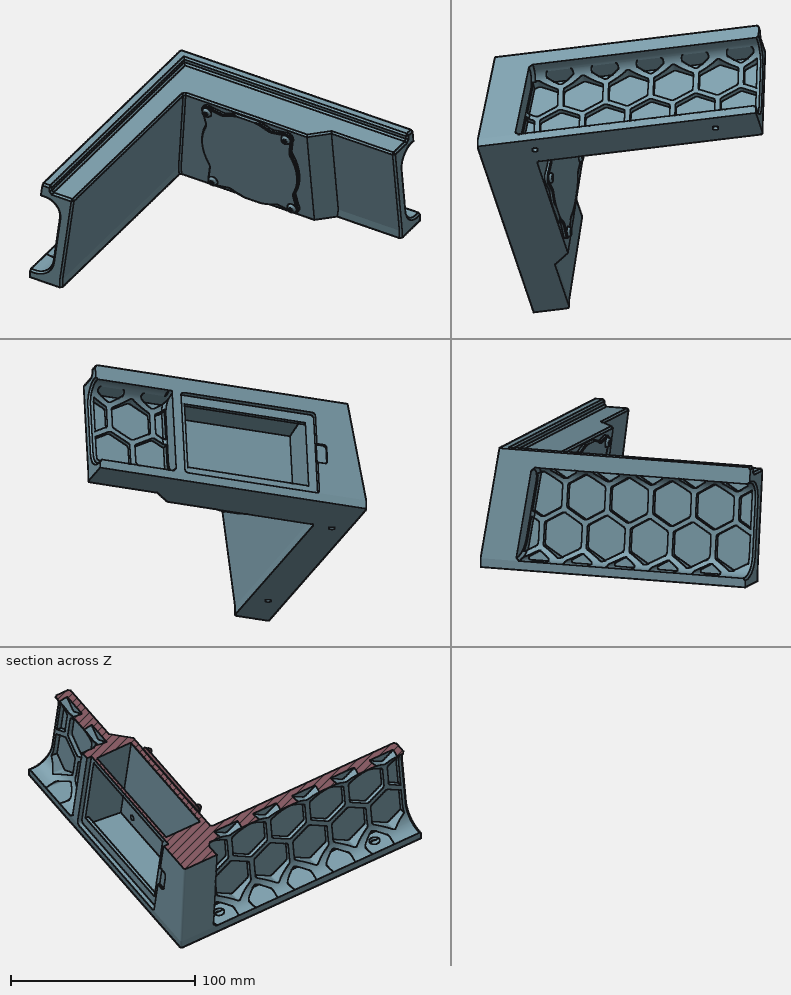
import cadquery as cq
import math


arm_length = 154.5
height = 65.0
plinth_height = 5.0
lean_angle = 7.5
arm_thickness = 20.0
deck_height = 61.0
rim_width = 13.3
rim_foot_chamfer = 1.1
edge_chamfer = 1.1
corner_chamfer = 1.0
mitre_radius = 1.2

block_start = arm_thickness
block_end = 105.0
block_depth = 29.7
block_run_back = block_depth - arm_thickness

pocket_floor = plinth_height
pocket_ceiling = 56.0
pocket_depth = 12.9
pocket_low_radius = 12.0
pocket_high_radius = 9.0
side_pocket_start = 20.9
rear_pocket_start = 110.4
pocket_end_chamfer = 1.8

hexagon_pitch = 25.0
hexagon_width = 22.0
hexagon_side = hexagon_width / math.sqrt(3)
hexagon_corner_radius = 2.0
hexagon_row_pitch = hexagon_pitch * math.sin(math.radians(60))
hexagon_columns = 7
hexagon_row_base = -6.7
hexagon_first = 5.2
hexagon_depth = 2.7
gable_corner_radius = 1.0
hexagon_end_margin = 3.0
hexagon_wall_margin = 0.6

foot_hole_diameter = 3.2
foot_hole_sink_diameter = 6.0
foot_hole_inset = 9.3
foot_hole_places = (hexagon_first + hexagon_pitch, hexagon_first + 5 * hexagon_pitch)

recess_start = 27.5
recess_end = 105.3
recess_depth = 2.8
recess_corner_radius = 2.0
window_width = 70.0
window_margin_u = 5.5
window_depth = 2.0
block_wall = 3.0
notch_width = 5.6
notch_height = 12.0
notch_depth = 1.2

cover_x = 67.5
cover_z = 30.05
cover_diameter = 61.0
cover_height = 59.0
cover_thickness = 2.0
cover_chamfer = 0.6
cover_blend_radius = 4.0
screw_spacing = 50.0
ear_radius = 3.6
ear_taper = 10.0
cover_hole_diameter = 3.2
screw_diameter = 3.0
screw_length = 4.5
head_diameter = 5.7
head_flat_diameter = 2.8
head_height = 1.65
head_bulge = 0.3
socket_width = 2.0
socket_depth = 1.0

lean = math.radians(lean_angle)
sin_lean = math.sin(lean)
cos_lean = math.cos(lean)
reach = 2 * arm_length
tolerance = 0.01


def lean_shift(z):
    """How far a leaning face has moved inwards at height z."""
    return (z - plinth_height) * math.tan(lean)


def slope_height(z):
    """Distance up the leaning face from plinth height to height z."""
    return (z - plinth_height) / cos_lean


def swap_arms(shape):
    """Mirror across the mitre plane, which turns side arm features into rear arm features."""
    return shape.mirror("XZ").rotate((0, 0, 0), (0, 0, 1), -90)


def inside_of(offset):
    """Everything further in than a side arm face that is upright up to the plinth and then leans."""
    section = [
        (offset, 0),
        (offset, plinth_height),
        (offset + lean_shift(height), height),
        (reach, height),
        (reach, 0),
    ]
    return cq.Workplane("XZ", origin=(0, reach, 0)).polyline(section).close().extrude(2 * reach)


def corner_region(offset):
    """Region inside the leaning faces of both arms, set in by the same offset."""
    side = inside_of(offset)
    return side.intersect(swap_arms(side))


def side_face_plane(depth=0.0):
    """Plane on the side arm's leaning face: x runs along the arm, y up the slope, z outwards."""
    origin = (depth * cos_lean, 0, plinth_height - depth * sin_lean)
    return cq.Plane(origin=origin, xDir=(0, -1, 0), normal=(-cos_lean, 0, sin_lean))


def leaning_box(start, end, low, high, depth, outwards=1.0):
    """Block square to the side arm's outer face, sunk to a depth below it."""
    box = cq.Workplane(side_face_plane(depth)).center((start + end) / 2, (low + high) / 2)
    return box.rect(end - start, high - low).extrude(depth + outwards)


def leaning_block():
    """Thickened length of the rear arm, with its end running back to the arm at 45 degrees."""
    plan = [
        (block_start, -arm_thickness / 2),
        (block_start, -block_depth),
        (block_end, -block_depth),
        (block_end + block_run_back, -arm_thickness),
        (block_end + block_run_back, -arm_thickness / 2),
    ]
    foot = [(x, y - lean_shift(0)) for x, y in plan]
    head = [(x, y - lean_shift(deck_height)) for x, y in plan]
    block = cq.Workplane("XY").polyline(foot).close()
    return block.workplane(offset=deck_height).polyline(head).close().loft(ruled=True)


def is_outer_mitre(edge):
    middle = edge.Center()
    return middle.x < rim_width / 2 and abs(middle.x + middle.y) < tolerance and 0 < middle.z < height


def is_inner_corner(edge):
    middle = edge.Center()
    near_corner = abs(middle.x - arm_thickness) < rim_width and abs(middle.y + block_depth) < rim_width
    return near_corner and middle.z < deck_height and abs(edge.tangentAt(0).z) > cos_lean * cos_lean


def is_rim_crest(edge):
    middle = edge.Center()
    on_wall = abs(middle.x - rim_width) < tolerance or abs(middle.y + rim_width) < tolerance
    return on_wall and middle.z > height - tolerance


def is_deck_border(edge):
    middle = edge.Center()
    on_deck = abs(middle.z - deck_height) < tolerance
    return on_deck and min(middle.x, -middle.y) > rim_width + 2 * rim_foot_chamfer


def is_end_border(edge):
    """Borders of the arm ends, except on the outer faces and the base."""
    middle = edge.Center()
    at_end = abs(middle.x - arm_length) < tolerance or abs(middle.y + arm_length) < tolerance
    set_in = min(middle.x, -middle.y) - max(lean_shift(middle.z), 0)
    return at_end and set_in > 0.5 and middle.z > 0.5


def is_pocket_mouth(edge):
    """Borders of the open pocket ends."""
    middle = edge.Center()
    set_in = min(middle.x, -middle.y) - lean_shift(middle.z)
    return is_end_border(edge) and set_in < pocket_depth + 0.1 and middle.z < pocket_ceiling + 0.1


def is_upper_border(edge):
    return is_rim_crest(edge) or is_deck_border(edge) or is_end_border(edge)


def chamfer_where(solid, wanted, size):
    edges = [edge for edge in solid.edges().vals() if wanted(edge)]
    return solid.newObject(edges).chamfer(size)


def frame_body():
    """Both arms with the motor block, the rim and the edge breaks, before any pocket is cut."""
    ends = cq.Workplane("XY").box(arm_length, arm_length, height, centered=False)
    ends = ends.translate((0, -arm_length, 0))
    body = corner_region(0).cut(corner_region(arm_thickness)).intersect(ends)
    deck_space = cq.Workplane("XY", origin=(rim_width, -rim_width - reach, deck_height))
    deck_space = deck_space.box(reach, reach, height, centered=False)
    deck_space = deck_space.faces("<Z").edges("<X or >Y").chamfer(rim_foot_chamfer)
    body = body.union(leaning_block())
    body = body.cut(deck_space)
    mitre = [edge for edge in body.edges().vals() if is_outer_mitre(edge)]
    body = body.newObject(mitre).fillet(mitre_radius)
    body = chamfer_where(body, is_inner_corner, corner_chamfer)
    return chamfer_where(body, is_upper_border, edge_chamfer)


def pocket_trough(limit):
    """Trough with a leaning back wall and rounded inner corners, cut to the given limit."""
    high_corner = pocket_depth + lean_shift(pocket_ceiling)
    section = [
        (-pocket_depth, pocket_floor),
        (pocket_depth, pocket_floor),
        (high_corner, pocket_ceiling),
        (-pocket_depth, pocket_ceiling),
    ]
    trough = cq.Workplane("XZ").polyline(section).close().extrude(reach)
    low_edge = cq.selectors.NearestToPointSelector((pocket_depth, -reach / 2, pocket_floor))
    high_edge = cq.selectors.NearestToPointSelector((high_corner, -reach / 2, pocket_ceiling))
    trough = trough.edges(low_edge).fillet(pocket_low_radius)
    trough = trough.edges(high_edge).fillet(pocket_high_radius)
    trough = trough.intersect(limit)
    return trough.faces(">Y").chamfer(pocket_end_chamfer)


def whole_places(first, start):
    """Distances along the arm of the hexagon places that lie wholly inside the pocket."""
    places = [first + number * hexagon_pitch for number in range(hexagon_columns)]
    return [place for place in places if start < place < arm_length - hexagon_width / 2]


def hexagon_prisms(plane, length):
    """Two full rows of rounded hexagons, shifted by half a pitch against each other."""
    centres = []
    for row in (1, 2):
        first = hexagon_first + (row % 2) * hexagon_pitch / 2
        for number in range(hexagon_columns):
            centres.append((first + number * hexagon_pitch, hexagon_row_base + row * hexagon_row_pitch))
    outline = cq.Sketch().regularPolygon(hexagon_side, 6).vertices().fillet(hexagon_corner_radius)
    return cq.Workplane(plane).pushPoints(centres).placeSketch(outline).extrude(length)


def gable_prisms(plane, length, places, base, tip):
    """Row of hexagon points standing on a floor, or hanging from a ceiling, at the base height."""
    half_width = abs(tip - base) * math.tan(math.radians(60))
    outline = cq.Sketch().polygon([(-half_width, base), (half_width, base), (0, tip), (-half_width, base)])
    outline = outline.vertices("<X or >X").fillet(gable_corner_radius).reset()
    outline = outline.vertices(">Y" if tip > base else "<Y").fillet(hexagon_corner_radius)
    return cq.Workplane(plane).pushPoints([(place, 0) for place in places]).placeSketch(outline).extrude(length)


def hexagon_recesses(start, limit):
    """Recesses square to the leaning face: two rows of hexagons between two rows of gables."""
    depth = pocket_depth * cos_lean + hexagon_depth
    length = depth + 1
    plane = side_face_plane(depth)
    ceiling = slope_height(pocket_ceiling)
    low_tip = hexagon_row_base + hexagon_side
    high_tip = hexagon_row_base + 3 * hexagon_row_pitch - hexagon_side
    low_places = whole_places(hexagon_first, start)
    high_places = whole_places(hexagon_first + hexagon_pitch / 2, start)
    room = leaning_box(0, arm_length - hexagon_end_margin, 0, ceiling, depth)
    recesses = hexagon_prisms(plane, length).intersect(room).intersect(limit)
    recesses = recesses.union(gable_prisms(plane, length, low_places, 0, low_tip))
    return recesses.union(gable_prisms(plane, length, high_places, ceiling, high_tip))


def side_pocket_limit(margin=0.0):
    """Space on the open side of the leaning end wall."""
    return swap_arms(inside_of(side_pocket_start + margin))


def rear_pocket_limit(margin=0.0):
    """Space on the open side of the upright end wall, laid out along the side arm."""
    half_space = cq.Workplane("XY").box(reach, reach, reach)
    return half_space.translate((0, -reach / 2 - rear_pocket_start - margin, 0))


def foot_holes():
    """Countersunk holes down through the floor of the side pocket."""
    floor = pocket_floor - foot_hole_inset * math.tan(lean)
    spots = [(foot_hole_inset, -place) for place in foot_hole_places]
    surface = cq.Workplane("XY", origin=(0, 0, floor)).pushPoints(spots)
    shafts = surface.circle(foot_hole_diameter / 2).extrude(-plinth_height)
    mouth = foot_hole_sink_diameter / 2
    throat = foot_hole_diameter / 2
    sink = cq.Solid.makeCone(throat, mouth, mouth - throat, pnt=(0, 0, throat - mouth))
    return shafts.union(surface.eachpoint(sink, useLocalCoordinates=True))


def rear_hollow():
    """Shallow recess and side notch in the rear face, a window, and the hollow of the motor block."""
    top = slope_height(pocket_ceiling)
    square_to_face = cq.selectors.ParallelDirSelector(cq.Vector(-cos_lean, 0, sin_lean))
    recess = leaning_box(recess_start, recess_end, 0, top, recess_depth)
    recess = recess.edges(square_to_face).fillet(recess_corner_radius)
    window_start = cover_x - window_width / 2
    window_end = cover_x + window_width / 2
    window_floor = recess_depth + window_depth
    window = leaning_box(window_start, window_end, window_margin_u, top - window_margin_u, window_floor)
    hollow_depth = block_depth * cos_lean - block_wall
    hollow = leaning_box(window_start, window_end, 0, top, hollow_depth, outwards=-window_floor)
    notch_low = (top - notch_height) / 2
    notch_high = (top + notch_height) / 2
    notch_end = recess_start + recess_depth
    notch = leaning_box(recess_start - notch_width, notch_end, notch_low, notch_high, notch_depth)
    notch = notch.edges(square_to_face).fillet(recess_corner_radius)
    return swap_arms(recess.union(window).union(hollow).union(notch))


frame = frame_body()
frame = frame.cut(pocket_trough(side_pocket_limit()))
frame = frame.cut(swap_arms(pocket_trough(rear_pocket_limit())))
frame = chamfer_where(frame, is_pocket_mouth, edge_chamfer)
frame = frame.cut(hexagon_recesses(side_pocket_start, side_pocket_limit(hexagon_wall_margin)))
frame = frame.cut(swap_arms(hexagon_recesses(rear_pocket_start, rear_pocket_limit(hexagon_wall_margin))))
frame = frame.cut(rear_hollow())
frame = frame.cut(foot_holes())

cover_plane = cq.Plane(
    origin=(cover_x, -block_depth - lean_shift(cover_z), cover_z),
    xDir=(1, 0, 0),
    normal=(0, -cos_lean, -sin_lean),
)


def screw_spots(height_above_block=0.0):
    """Screw centres, on a plane at a height above the block face."""
    plane = cq.Workplane(cover_plane).workplane(offset=height_above_block)
    return plane.rect(screw_spacing, screw_spacing, forConstruction=True).vertices()


def cover_ear(side, end):
    """One corner of the cover: tangent to the screw round, narrowing along its sides."""
    half = screw_spacing / 2
    taper = math.radians(ear_taper)
    far = half + ear_radius * math.cos(taper)
    near = half + ear_radius * math.sin(taper)
    waist = far - near * math.tan(taper)
    outline = [(0, 0), (waist, 0), (far, near), (near, far), (0, waist)]
    outline = [(side * x, end * y) for x, y in outline]
    return cq.Workplane(cover_plane).polyline(outline).close().extrude(cover_thickness)


def is_ear_root(edge):
    """Edges through the plate where an ear side meets the round plate."""
    local = cover_plane.toLocalCoords(edge.Center())
    through = abs(edge.tangentAt(0).dot(cover_plane.zDir)) > 0.99
    on_round = abs(math.hypot(local.x, local.y) - cover_diameter / 2) < tolerance
    return through and on_round and abs(local.x * local.y) > 1


def cover_plate():
    """Round plate cut flat at top and bottom, with four tapering ears for the screws."""
    plate = cq.Workplane(cover_plane).circle(cover_diameter / 2).extrude(cover_thickness)
    for side in (-1, 1):
        for end in (-1, 1):
            plate = plate.union(cover_ear(side, end))
    plate = plate.union(screw_spots().circle(ear_radius).extrude(cover_thickness))
    roots = [edge for edge in plate.edges().vals() if is_ear_root(edge)]
    plate = plate.newObject(roots).fillet(cover_blend_radius)
    plate = plate.faces(cq.selectors.DirectionMinMaxSelector(cover_plane.zDir)).edges().chamfer(cover_chamfer)
    strip = cq.Workplane(cover_plane).rect(2 * cover_diameter, cover_height).extrude(cover_thickness)
    plate = plate.intersect(strip)
    return plate.cut(screw_spots().circle(cover_hole_diameter / 2).extrude(cover_thickness))


def screw():
    """Button head screw standing on the XY plane, with its shank below."""
    base = head_diameter / 2
    flat = head_flat_diameter / 2
    crown = ((base + flat) / 2 + head_bulge, head_height / 2 + head_bulge)
    section = cq.Workplane("XZ").moveTo(0, -screw_length).lineTo(screw_diameter / 2, -screw_length)
    section = section.lineTo(screw_diameter / 2, 0).lineTo(base, 0)
    section = section.threePointArc(crown, (flat, head_height)).lineTo(0, head_height).close()
    body = section.revolve(360, (0, 0, 0), (0, 1, 0))
    across_corners = socket_width / math.cos(math.radians(30))
    socket = cq.Workplane("XY", origin=(0, 0, head_height)).polygon(6, across_corners)
    return body.cut(socket.extrude(-socket_depth))


screws = screw_spots(cover_thickness).eachpoint(screw().val(), useLocalCoordinates=True)
frame = frame.cut(screw_spots(cover_thickness).circle(screw_diameter / 2).extrude(-screw_length))
cover = cover_plate()

result = cq.Compound.makeCompound([frame.val(), cover.val(), *screws.vals()])